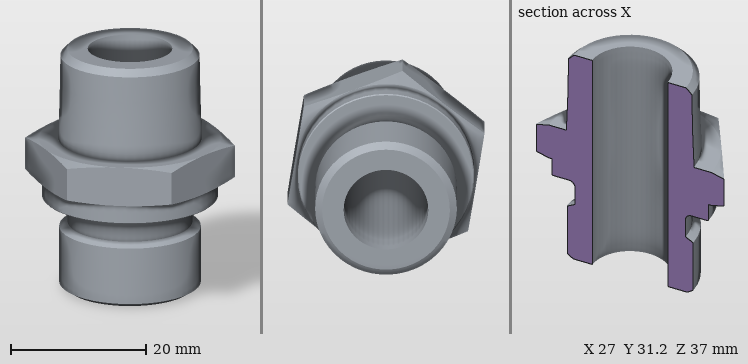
import cadquery as cq
import math

total_height = 37.0
lower_thread_top = 9.32
neck_bottom = 10.0
flange_bottom = 14.02
hex_bottom = 17.0
hex_top = 23.0
taper_start = 24.0

bore_radius = 6.25
lower_thread_radius = 10.47
neck_radius = 9.2
flange_radius = 13.02
taper_base_radius = 10.6
taper_top_radius = 10.3
upper_end_radius = 9.3

lower_end_chamfer_width = 1.05
lower_end_chamfer_height = 0.65
upper_end_chamfer_height = 1.0
flange_edge_chamfer = 0.15
neck_fillet_radius = 0.92

across_flats = 27.0
across_corners = across_flats / math.cos(math.radians(30))
hex_chamfer_angle = 15.0


def make_turned_body():
    """Revolve the threads, neck and flange as one stepped profile."""
    fillet_outer_radius = neck_radius + neck_fillet_radius
    neck_top = flange_bottom - neck_fillet_radius
    fillet_offset = neck_fillet_radius * math.sin(math.radians(45))
    fillet_middle = (fillet_outer_radius - fillet_offset, neck_top + fillet_offset)
    profile = (
        cq.Workplane("XZ")
        .lineTo(lower_thread_radius - lower_end_chamfer_width, 0)
        .lineTo(lower_thread_radius, lower_end_chamfer_height)
        .lineTo(lower_thread_radius, lower_thread_top)
        .lineTo(neck_radius, neck_bottom)
        .lineTo(neck_radius, neck_top)
        .threePointArc(fillet_middle, (fillet_outer_radius, flange_bottom))
        .lineTo(flange_radius - flange_edge_chamfer, flange_bottom)
        .lineTo(flange_radius, flange_bottom + flange_edge_chamfer)
        .lineTo(flange_radius, hex_top)
        .lineTo(taper_base_radius, hex_top)
        .lineTo(taper_base_radius, taper_start)
        .lineTo(taper_top_radius, total_height - upper_end_chamfer_height)
        .lineTo(upper_end_radius, total_height)
        .lineTo(0, total_height)
        .close()
    )
    return profile.revolve(360, (0, 0, 0), (0, 1, 0))


def make_hexagon():
    """Hexagonal prism with conical chamfers on the corners at both ends."""
    prism = (
        cq.Workplane("XY", origin=(0, 0, hex_bottom))
        .polygon(6, across_corners)
        .extrude(hex_top - hex_bottom)
        .rotate((0, 0, 0), (0, 0, 1), 30)
    )
    face_radius = across_flats / 2
    corner_radius = across_corners / 2
    corner_drop = (corner_radius - face_radius) * math.tan(math.radians(hex_chamfer_angle))
    envelope = (
        cq.Workplane("XZ")
        .moveTo(0, hex_bottom)
        .lineTo(face_radius, hex_bottom)
        .lineTo(corner_radius, hex_bottom + corner_drop)
        .lineTo(corner_radius, hex_top - corner_drop)
        .lineTo(face_radius, hex_top)
        .lineTo(0, hex_top)
        .close()
        .revolve(360, (0, 0, 0), (0, 1, 0))
    )
    return prism.intersect(envelope)


bore = cq.Workplane("XY").circle(bore_radius).extrude(total_height)
result = make_turned_body().union(make_hexagon()).cut(bore)